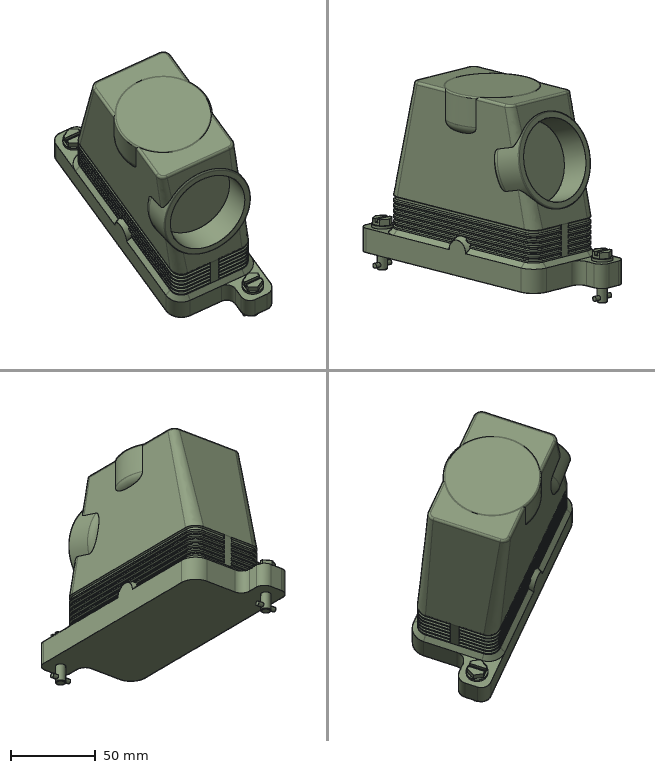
import cadquery as cq
import math

flange_half_x = 63.9
flange_half_y = 29.0
flange_corner_radius = 10.5
flange_height = 14.8
ear_reach = 82.5
ear_width = 20.1
ear_corner_radius = 6.1
ear_root_x = 49.5

skirt_chamfer = 3.0
taper_start_z = 37.8
hood_top_z = 110.9
top_half_x = 41.2
top_corner_radius = 4.8
top_edge_radius = 1.6

groove_count = 6
groove_width = 2.1
groove_slope = 0.7
groove_depth = 1.0
lowest_groove_z = 18.8
highest_groove_z = 35.0
grip_bar_width = 5.6

bump_radius = 7.0
bump_draft = 25.0
bump_length = 4.3

boss_radius = flange_half_y
top_boss_rise = 0.08
top_boss_rim_radius = 1.0
side_boss_rim_radius = 0.5
boss_end_radius = 6.1
boss_straight_length = 18.6
side_boss_z = 75.2
side_boss_rise = 1.5
bore_radius = 25.0

screw_x = 73.0
screw_y = 19.0
shaft_diameter = 6.1
shaft_protrusion = 11.2
shaft_chamfer = 0.5
washer_radius = 6.5
washer_height = 1.6
head_across_flats = 10.2
head_height = 3.8
slot_width = 2.1
slot_depth = 2.1
cross_pin_radius = 1.5
cross_pin_length = 12.9
cross_pin_drop = 8.1

collar_half_x = flange_half_x - skirt_chamfer
collar_half_y = flange_half_y - skirt_chamfer
collar_corner_radius = flange_corner_radius - skirt_chamfer
skirt_top_z = flange_height + skirt_chamfer
taper_angle = math.atan2(collar_half_x - top_half_x, hood_top_z - taper_start_z)
groove_pitch = (highest_groove_z - lowest_groove_z) / (groove_count - 1)
shaft_radius = shaft_diameter / 2
boss_length = boss_straight_length + boss_end_radius


def rounded_rectangle(half_x, half_y, radius, z):
    """Horizontal rounded-rectangle wire centred on the Z axis."""
    outline = cq.Sketch().rect(2 * half_x, 2 * half_y).vertices().fillet(radius)
    return outline.reset().faces().val().outerWire().translate(cq.Vector(0, 0, z))


def collar_section(inset, z):
    """Outline of the collar, moved inward by the inset."""
    return rounded_rectangle(
        collar_half_x - inset, collar_half_y - inset, collar_corner_radius - inset, z
    )


def ruled_body(sections):
    return cq.Workplane(cq.Solid.makeLoft(sections, True))


def make_ear():
    """Mounting ear on the -X, -Y corner."""
    return (
        cq.Workplane("XY")
        .box(ear_reach - ear_root_x, ear_width, flange_height, centered=False)
        .translate((-ear_reach, -flange_half_y, 0))
        .edges("|Z and <X")
        .fillet(ear_corner_radius)
    )


def make_flange():
    flange = (
        cq.Workplane("XY")
        .rect(2 * flange_half_x, 2 * flange_half_y)
        .extrude(flange_height)
        .edges("|Z")
        .fillet(flange_corner_radius)
    )
    half_turn = ((0, 0, 0), (0, 0, 1), 180)
    flange = flange.union(make_ear()).union(make_ear().rotate(*half_turn))
    inner_corner = (flange_half_x, flange_half_y - ear_width, flange_height / 2)
    opposite_corner = (-inner_corner[0], -inner_corner[1], inner_corner[2])
    for corner in (inner_corner, opposite_corner):
        flange = flange.edges(cq.selectors.NearestToPointSelector(corner)).fillet(ear_corner_radius)
    return flange


def make_ribbed_collar():
    """Chamfered skirt and collar, one ruled skin through all the edges."""
    sections = [
        collar_section(-skirt_chamfer, flange_height),
        collar_section(0, skirt_top_z),
    ]
    for index in range(groove_count):
        bottom_z = lowest_groove_z + index * groove_pitch
        is_uppermost = index == groove_count - 1
        upper_z = taper_start_z if is_uppermost else bottom_z + groove_width
        sections += [
            collar_section(0, bottom_z),
            collar_section(groove_depth, bottom_z + groove_slope),
            collar_section(groove_depth, upper_z - groove_slope),
            collar_section(0, upper_z),
        ]
    return ruled_body(sections)


def make_grip_bar():
    """Plain bar across the grooves, flush with both short sides of the collar."""
    return (
        cq.Workplane("XY", origin=(0, 0, flange_height))
        .rect(2 * collar_half_x, grip_bar_width)
        .extrude(taper_start_z - flange_height)
    )


def make_tapered_hood():
    lower = collar_section(0, taper_start_z)
    upper = rounded_rectangle(top_half_x, collar_half_y, top_corner_radius, hood_top_z)
    return ruled_body([lower, upper]).faces(">Z").edges().fillet(top_edge_radius)


def make_bump(side):
    """Half-round bump on one long side, widening toward the collar."""
    center = (0, side * flange_half_y, flange_height)
    plane = cq.Plane(origin=center, xDir=(1, 0, 0), normal=(0, -side, 0))
    return cq.Workplane(plane).circle(bump_radius).extrude(bump_length, taper=-bump_draft)


def make_boss(plane, rim_radius):
    """Round boss sunk from its rim plane, against the plane normal."""
    return (
        cq.Workplane(plane)
        .circle(boss_radius)
        .extrude(-boss_length)
        .faces(cq.selectors.DirectionMinMaxSelector(plane.zDir, True))
        .edges()
        .fillet(rim_radius)
        .faces(cq.selectors.DirectionMinMaxSelector(plane.zDir, False))
        .edges()
        .fillet(boss_end_radius)
    )


def make_side_boss_plane():
    """Rim plane of the side boss, parallel to the sloping +X face and just proud of it."""
    face_x = collar_half_x - (side_boss_z - taper_start_z) * math.tan(taper_angle)
    rim_x = face_x + side_boss_rise / math.cos(taper_angle)
    normal = (math.cos(taper_angle), 0, math.sin(taper_angle))
    return cq.Plane(origin=(rim_x, 0, side_boss_z), xDir=(0, 1, 0), normal=normal)


def make_housing():
    body = make_flange().union(make_ribbed_collar()).union(make_grip_bar()).union(make_tapered_hood())
    for side in (-1, 1):
        body = body.union(make_bump(side))

    top_plane = cq.Plane.XY(origin=(0, 0, hood_top_z + top_boss_rise))
    top_boss = make_boss(top_plane, top_boss_rim_radius)
    side_plane = make_side_boss_plane()
    bore = cq.Workplane(side_plane).circle(bore_radius).extrude(-boss_straight_length)
    side_boss = make_boss(side_plane, side_boss_rim_radius)
    body = body.union(top_boss).union(side_boss).cut(bore)

    screw_holes = (
        cq.Workplane("XY")
        .pushPoints([(-screw_x, -screw_y), (screw_x, screw_y)])
        .circle(shaft_radius)
        .extrude(flange_height)
    )
    return body.cut(screw_holes)


def make_screw(x, y):
    """Slotted hexagon screw with a washer face under the head and a cross pin near its tip."""
    shaft = (
        cq.Workplane("XY", origin=(0, 0, -shaft_protrusion))
        .circle(shaft_radius)
        .extrude(shaft_protrusion + flange_height)
        .faces("<Z")
        .chamfer(shaft_chamfer)
    )
    washer = cq.Workplane("XY", origin=(0, 0, flange_height)).circle(washer_radius).extrude(washer_height)
    across_corners = head_across_flats / math.cos(math.radians(30))
    head_base_z = flange_height + washer_height
    head = (
        cq.Workplane("XY", origin=(0, 0, head_base_z))
        .polygon(6, across_corners)
        .extrude(head_height)
    )
    slot = (
        cq.Workplane("XY", origin=(0, 0, head_base_z + head_height - slot_depth))
        .rect(slot_width, across_corners)
        .extrude(slot_depth)
    )
    cross_pin = (
        cq.Workplane("XZ", origin=(0, 0, -cross_pin_drop))
        .circle(cross_pin_radius)
        .extrude(cross_pin_length / 2, both=True)
    )
    screw = shaft.union(washer).union(head).cut(slot).union(cross_pin)
    return screw.translate((x, y, 0))


housing = make_housing()
screws = [make_screw(side * screw_x, side * screw_y) for side in (-1, 1)]

result = cq.Compound.makeCompound([housing.val(), *[screw.val() for screw in screws]])